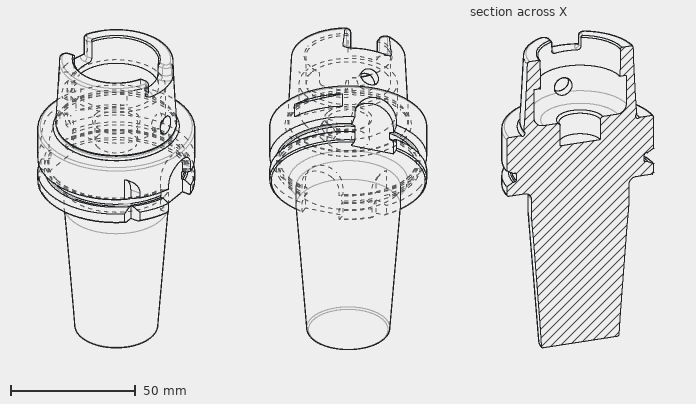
import cadquery as cq
import math

tolerance = 0.01

total_height = 127.0
flange_top = 95.0
flange_bottom = 69.0
shank_bottom = 96.8
nose_cone_top = 57.4

shank_base_radius = 24.3
shank_half_taper = 0.05
shank_top_radius = shank_base_radius - shank_half_taper * (total_height - shank_bottom)
shank_rim_round = 1.0
relief_radius = 23.9
relief_chamfer_bottom = 96.1
relief_arc_start = 95.4
relief_arc_radius = 0.8

flange_radius = 31.5
flange_top_round = 1.0
flange_bottom_chamfer = 0.6
groove_radius = 27.4
groove_top = 78.7
groove_bottom = 75.0
groove_ledge_radius = 28.8
groove_corner_round = 0.5
groove_flank_rise = (flange_radius - groove_ledge_radius) * math.tan(math.radians(30))

neck_radius = 21.0
neck_round = 2.9
tip_radius = 16.6
tip_round = 0.8

mouth_radius = 17.0
mouth_bottom = 114.2
mouth_chamfer = 0.6
chamber_radius = 19.7
chamber_floor = 97.9
chamber_floor_round = 3.8
pilot_radius = 8.5
pilot_depth = 10.0
pilot_chamfer = 1.0

cross_hole_radius = 3.75
cross_hole_height = 104.1

drive_slot_half_width = 6.2
drive_slot_round_start = 18.2
drive_slot_outer_round = 2.5
drive_slot_floor_round = 1.5
drive_slot_reach = 11.4
deep_slot_floor = 117.0
shallow_slot_floor = 120.9

keyway_floor = 26.4
keyway_top = 90.3
wide_keyway_half_width = 9.0
narrow_keyway_half_width = 8.0

notch_floor = 20.1
notch_wall = 19.8
notch_arc_radius = 8.0
notch_arc_height = 82.5
data_flat_distance = 29.7
data_flat_bottom = 85.2
data_flat_top = 90.9
data_flat_angle = 135


def make_body():
    """Solid of revolution: nose, flange, gripper groove and tapered shank."""
    relief_arc_exit = relief_radius + relief_arc_radius + math.sqrt(
        relief_arc_radius**2 - (relief_arc_start - flange_top) ** 2
    )
    relief_arc_middle = (relief_radius + relief_arc_radius, relief_arc_start - relief_arc_radius)
    outline = (
        cq.Workplane("XZ")
        .lineTo(tip_radius, 0)
        .lineTo(neck_radius, nose_cone_top)
        .lineTo(neck_radius, flange_bottom)
        .lineTo(flange_radius, flange_bottom)
        .lineTo(flange_radius, groove_bottom - groove_flank_rise)
        .lineTo(groove_ledge_radius, groove_bottom)
        .lineTo(groove_radius, groove_bottom)
        .lineTo(groove_radius, groove_top)
        .lineTo(groove_ledge_radius, groove_top)
        .lineTo(flange_radius, groove_top + groove_flank_rise)
        .lineTo(flange_radius, flange_top)
        .lineTo(relief_arc_exit, flange_top)
        .threePointArc(relief_arc_middle, (relief_radius, relief_arc_start))
        .lineTo(relief_radius, relief_chamfer_bottom)
        .lineTo(shank_base_radius, shank_bottom)
        .lineTo(shank_top_radius, total_height)
        .lineTo(0, total_height)
        .close()
    )
    body = outline.revolve(360, (0, 0, 0), (0, 1, 0))
    body = round_ring(body, tip_radius, 0, tip_round)
    body = round_ring(body, neck_radius, flange_bottom, neck_round)
    body = round_ring(body, flange_radius, flange_top, flange_top_round)
    body = round_ring(body, groove_radius, groove_bottom, groove_corner_round)
    body = round_ring(body, groove_radius, groove_top, groove_corner_round)
    return body.edges(ring_at(flange_radius, flange_bottom)).chamfer(flange_bottom_chamfer)


def ring_at(radius, height):
    """Selector for the circular edge of a given radius at a given height."""
    outer = radius + tolerance
    inner = radius - tolerance
    low = height - tolerance
    high = height + tolerance
    up_to_ring = cq.selectors.BoxSelector((-outer, -outer, low), (outer, outer, high), True)
    inside_ring = cq.selectors.BoxSelector((-inner, -inner, low), (inner, inner, high), True)
    return up_to_ring - inside_ring


def round_ring(body, radius, height, size):
    """Round the circular edge of a given radius at a given height."""
    return body.edges(ring_at(radius, height)).fillet(size)


def cylinder(radius, bottom, top):
    """Cylinder on the Z axis between two heights."""
    return cq.Workplane("XY").workplane(offset=bottom).circle(radius).extrude(top - bottom)


def make_cavity():
    """Mouth bore, wider clamping chamber and blind pilot bore, all coaxial."""
    mouth = cylinder(mouth_radius, mouth_bottom, total_height)
    chamber = (
        cylinder(chamber_radius, chamber_floor, mouth_bottom)
        .faces("<Z")
        .edges()
        .fillet(chamber_floor_round)
    )
    pilot = cylinder(pilot_radius, chamber_floor - pilot_depth, chamber_floor)
    countersink = (
        cq.Workplane("XY")
        .workplane(offset=chamber_floor - pilot_chamfer)
        .circle(pilot_radius)
        .workplane(offset=pilot_chamfer)
        .circle(pilot_radius + pilot_chamfer)
        .loft()
    )
    return mouth.union(chamber).union(pilot).union(countersink)


def make_drive_slot(floor_height):
    """Cutter for a rim slot on the +X side that flares outward around both posts."""
    half = drive_slot_half_width
    radius = drive_slot_outer_round
    start = drive_slot_round_start
    diagonal = radius * math.sqrt(0.5)
    outer = flange_radius
    return (
        cq.Workplane("XY")
        .workplane(offset=floor_height)
        .moveTo(0, -half)
        .lineTo(start, -half)
        .threePointArc((start + diagonal, -half - radius + diagonal), (start + radius, -half - radius))
        .lineTo(start + radius, -drive_slot_reach)
        .lineTo(outer, -drive_slot_reach)
        .lineTo(outer, drive_slot_reach)
        .lineTo(start + radius, drive_slot_reach)
        .lineTo(start + radius, half + radius)
        .threePointArc((start + diagonal, half + radius - diagonal), (start, half))
        .lineTo(0, half)
        .close()
        .extrude(total_height - floor_height)
        .faces("<Z")
        .edges("not(<X or >X)")
        .fillet(drive_slot_floor_round)
    )


def make_keyway(half_width):
    """Cutter for a round-topped keyway on the +X side, open at the flange underside."""
    arc_height = keyway_top - half_width
    return (
        cq.Workplane("YZ")
        .workplane(offset=keyway_floor)
        .moveTo(-half_width, flange_bottom)
        .lineTo(-half_width, arc_height)
        .threePointArc((0, keyway_top), (half_width, arc_height))
        .lineTo(half_width, flange_bottom)
        .close()
        .extrude(flange_radius - keyway_floor)
    )


def make_notch():
    """Cutter for the square corner notch between the +X and -Y directions."""
    arc_center = -notch_wall - notch_arc_radius
    arc_top = notch_arc_height + notch_arc_radius
    diagonal = notch_arc_radius * math.sqrt(0.5)
    return (
        cq.Workplane("YZ")
        .workplane(offset=notch_floor)
        .moveTo(-notch_wall, flange_bottom)
        .lineTo(-notch_wall, notch_arc_height)
        .threePointArc((arc_center + diagonal, notch_arc_height + diagonal), (arc_center, arc_top))
        .lineTo(-flange_radius, arc_top)
        .lineTo(-flange_radius, flange_bottom)
        .close()
        .extrude(flange_radius - notch_floor)
    )


def make_data_flat():
    """Cutter for the flat milled across the upper flange."""
    depth = flange_radius - data_flat_distance
    return (
        cq.Workplane("XY")
        .box(depth, flange_radius, data_flat_top - data_flat_bottom, centered=(False, True, False))
        .translate((data_flat_distance, 0, data_flat_bottom))
        .rotate((0, 0, 0), (0, 0, 1), data_flat_angle)
    )


def to_minus_x(cutter):
    """Turn a cutter made for the +X side to the -X side."""
    return cutter.rotate((0, 0, 0), (0, 0, 1), 180)


def round_posts(body):
    """Round the top edges of both posts, leaving out the chamfered mouth of the bore."""
    chamfer_radius = mouth_radius + mouth_chamfer
    return (
        body.faces(">Z")
        .edges()
        .filter(lambda edge: edge.geomType() == "LINE" or abs(edge.radius() - chamfer_radius) > tolerance)
        .fillet(shank_rim_round)
    )


def make_cross_hole():
    """Cutter for the hole along X through both sides of the shank wall."""
    return (
        cq.Workplane("YZ")
        .center(0, cross_hole_height)
        .circle(cross_hole_radius)
        .extrude(flange_radius, both=True)
    )


result = make_body().cut(make_cavity())
result = result.edges(ring_at(mouth_radius, total_height)).chamfer(mouth_chamfer)
result = result.cut(to_minus_x(make_drive_slot(deep_slot_floor)))
result = result.cut(make_drive_slot(shallow_slot_floor))
result = round_posts(result)

result = result.cut(make_cross_hole())
result = result.cut(to_minus_x(make_keyway(wide_keyway_half_width)))
result = result.cut(make_keyway(narrow_keyway_half_width))
result = result.cut(make_notch())
result = result.cut(make_data_flat())